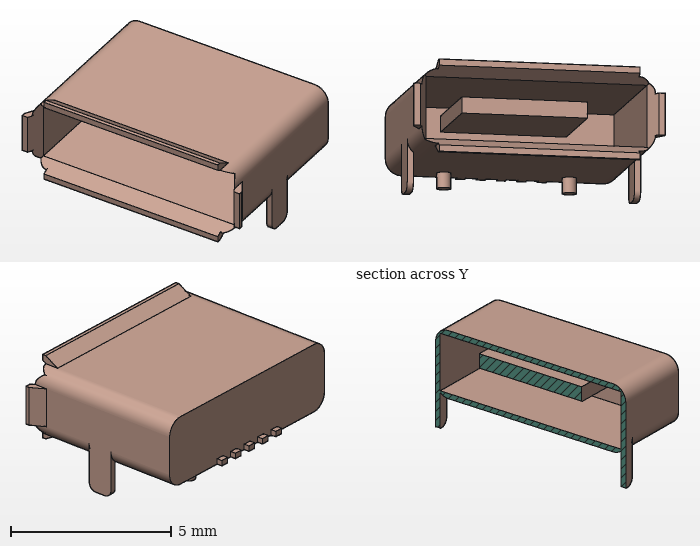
import cadquery as cq
import math

width = 7.44
height = 2.37
corner_radius = 0.52
wall = 0.2
back_y = 5.65
back_wall = 0.2

flare_out = 0.28
flare_angle = math.radians(30)
lip_flat = 0.13
flare_run = flare_out / math.tan(flare_angle)
outer_bend_y = lip_flat + flare_run

tongue_width = 4.0
tongue_height = 0.51
tongue_below_top = 0.46
tongue_length = 3.2

leg_front_y = 2.35
leg_width = 0.9
leg_drop = 1.1
leg_radius = 0.27

peg_diameter = 0.45
peg_spacing = 4.0
peg_drop = 0.49
peg_from_back = 0.69

tail_count = 5
tail_pitch = 0.65
tail_width = 0.28
tail_height = 0.19
tail_reach = 0.19

mid_z = height / 2
cavity_width = width - 2 * wall
cavity_height = height - 2 * wall


def box(size_x, size_y, size_z, x, y, z):
    """Box centred on x, starting at y and z."""
    return cq.Workplane("XY").box(size_x, size_y, size_z, centered=(True, False, False)).translate((x, y, z))


def make_body():
    """Solid rounded block, ending where the flared mouth breaks through its flat sides."""
    front_y = flare_run - wall / math.tan(flare_angle)
    return (
        cq.Workplane("XZ", origin=(0, back_y, mid_z))
        .rect(width, height)
        .extrude(back_y - front_y)
        .edges("|Y")
        .fillet(corner_radius)
    )


def make_lip(length):
    """Lip along X, with the outer wall face at Z = 0 and flaring toward +Z."""
    outline = [
        (outer_bend_y, 0),
        (lip_flat, flare_out),
        (0, flare_out),
        (0, flare_out - wall),
        (flare_run, -wall),
        (outer_bend_y, -wall),
    ]
    return cq.Workplane("YZ").polyline(outline).close().extrude(length / 2, both=True)


def make_lips():
    """Four lips, each spanning the flat stretch between two rounded corners."""
    long_lip = make_lip(width - 2 * corner_radius).translate((0, 0, height / 2))
    short_lip = make_lip(height - 2 * corner_radius).translate((0, 0, width / 2))
    lips = cq.Workplane("XY")
    for angle in (0, 180):
        lips = lips.add(long_lip.rotate((0, 0, 0), (0, 1, 0), angle))
        lips = lips.add(short_lip.rotate((0, 0, 0), (0, 1, 0), angle + 90))
    return lips.translate((0, 0, mid_z)).combine()


def make_cavity():
    """Straight rectangular cavity opening into a tapered mouth."""
    straight = box(cavity_width, back_y - back_wall - flare_run, cavity_height, 0, flare_run, wall)
    mouth = (
        cq.Workplane("XZ", origin=(0, flare_run, mid_z))
        .rect(cavity_width, cavity_height)
        .workplane(offset=flare_run)
        .rect(cavity_width + 2 * flare_out, cavity_height + 2 * flare_out)
        .loft(ruled=True)
    )
    return straight.union(mouth)


def make_tongue():
    tongue_y = back_y - back_wall - tongue_length
    tongue_z = height - tongue_below_top - tongue_height
    return box(tongue_width, tongue_length + back_wall, tongue_height, 0, tongue_y, tongue_z)


def make_leg(side):
    """Leg continuing a side wall downward, with rounded lower corners."""
    leg_x = side * (width - wall) / 2
    leg = box(wall, leg_width, leg_drop + corner_radius, leg_x, leg_front_y, -leg_drop)
    return leg.edges("|X and <Z").fillet(leg_radius)


def make_pegs():
    return (
        cq.Workplane("XY", origin=(0, back_y - peg_from_back, -peg_drop))
        .pushPoints([(-peg_spacing / 2, 0), (peg_spacing / 2, 0)])
        .circle(peg_diameter / 2)
        .extrude(peg_drop + wall / 2)
    )


def make_tail(index):
    tail_x = (index - (tail_count - 1) / 2) * tail_pitch
    return box(tail_width, tail_reach + back_wall, tail_height, tail_x, back_y - back_wall, 0)


result = make_body().union(make_lips()).cut(make_cavity())
result = result.union(make_tongue()).union(make_pegs())
for side in (-1, 1):
    result = result.union(make_leg(side))
for index in range(tail_count):
    result = result.union(make_tail(index))